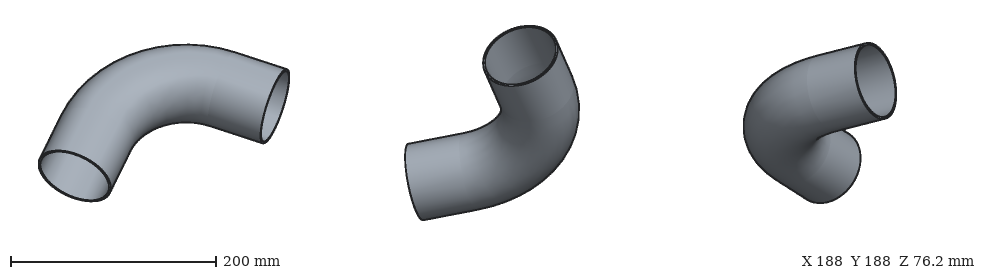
import cadquery as cq
import math

overall_length = 188.0
outer_diameter = 76.2
inner_diameter = 72.0
bend_radius = 95.0

leg_length = overall_length - bend_radius - outer_diameter / 2

bend_start = (0, leg_length)
bend_middle = (
    bend_radius * (1 - math.cos(math.pi / 4)),
    leg_length + bend_radius * math.sin(math.pi / 4),
)
bend_end = (bend_radius, leg_length + bend_radius)
far_end = (bend_radius + leg_length, leg_length + bend_radius)

centreline = (
    cq.Workplane("XY")
    .lineTo(*bend_start)
    .threePointArc(bend_middle, bend_end)
    .lineTo(*far_end)
)

result = (
    cq.Workplane("XZ")
    .circle(outer_diameter / 2)
    .circle(inner_diameter / 2)
    .sweep(centreline)
)